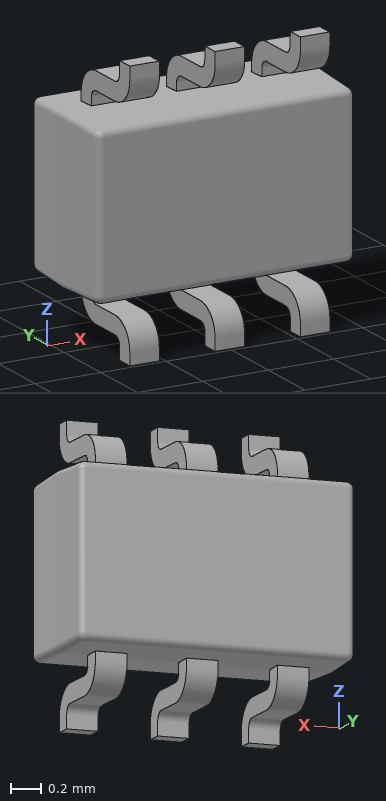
import cadquery as cq
import math


body_length = 2.0
body_width = 1.25
body_depth = 0.9
standoff = 0.048
parting_height = 0.525
draft_angle = 2.0
edge_radius = 0.05

lead_span = 2.1
lead_width = 0.227
lead_pitch = 0.65
leads_per_side = 3
lead_thickness = 0.14
inner_bend_radius = 0.063
outer_bend_radius = inner_bend_radius + lead_thickness
toe_overhang = 0.162
root_embed = 0.125


def body_half(depth):
    """Drafted half body, growing from the parting plane by a signed depth along Y."""
    half = (
        cq.Workplane("XZ", origin=(0, parting_height, 0))
        .rect(body_length, body_width)
        .extrude(-depth, taper=draft_angle)
    )
    outer_face = ">Y" if depth > 0 else "<Y"
    rounded_corners = half.edges("not(|X or |Z)").fillet(edge_radius)
    return rounded_corners.faces(outer_face).edges().fillet(edge_radius)


def make_body():
    """Both drafted halves, joined at the widest section."""
    rear = body_half(standoff + body_depth - parting_height)
    front = body_half(standoff - parting_height)
    return rear.union(front)


def make_lead(x_center):
    """Lead on the +Z side: out of the body, down to the seating plane, then out to the toe."""
    root_z = body_width / 2 - root_embed
    toe_z = lead_span / 2
    riser_outer_z = toe_z - toe_overhang
    riser_inner_z = riser_outer_z - lead_thickness
    shoulder_top = parting_height + lead_thickness
    sin45 = math.sqrt(0.5)

    def arc_middle(center_y, center_z, radius, y_side, z_side):
        return (center_y + y_side * radius * sin45, center_z + z_side * radius * sin45)

    shoulder_y = parting_height - inner_bend_radius
    shoulder_z = riser_inner_z - inner_bend_radius
    foot_y = lead_thickness + inner_bend_radius
    foot_z = riser_outer_z + inner_bend_radius

    return (
        cq.Workplane("YZ", origin=(x_center - lead_width / 2, 0, 0))
        .moveTo(shoulder_top, root_z)
        .lineTo(shoulder_top, shoulder_z)
        .threePointArc(
            arc_middle(shoulder_y, shoulder_z, outer_bend_radius, 1, 1),
            (shoulder_y, riser_outer_z),
        )
        .lineTo(foot_y, riser_outer_z)
        .threePointArc(
            arc_middle(foot_y, foot_z, inner_bend_radius, -1, -1),
            (lead_thickness, foot_z),
        )
        .lineTo(lead_thickness, toe_z)
        .lineTo(0, toe_z)
        .lineTo(0, foot_z)
        .threePointArc(
            arc_middle(foot_y, foot_z, outer_bend_radius, -1, -1),
            (foot_y, riser_inner_z),
        )
        .lineTo(shoulder_y, riser_inner_z)
        .threePointArc(
            arc_middle(shoulder_y, shoulder_z, inner_bend_radius, 1, 1),
            (parting_height, shoulder_z),
        )
        .lineTo(parting_height, root_z)
        .close()
        .extrude(lead_width)
    )


part = make_body()
for index in range(leads_per_side):
    lead_x = (index - (leads_per_side - 1) / 2) * lead_pitch
    lead = make_lead(lead_x)
    part = part.union(lead).union(lead.mirror("XY"))

result = part.solids()